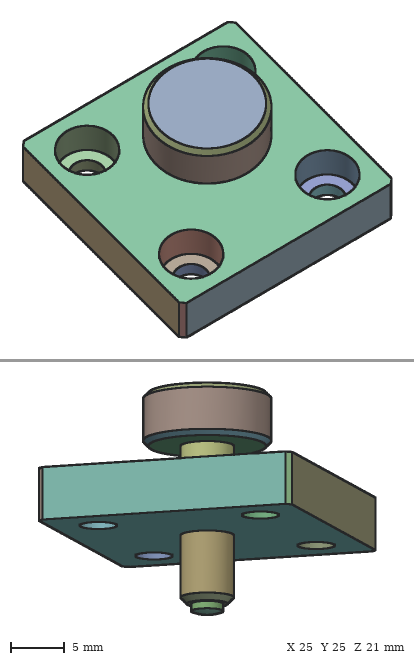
import cadquery as cq

plate_side = 25
plate_thickness = 5
plate_corner_chamfer = 0.5
plate_bottom = 7.5

hole_offset = 8
hole_diameter = 3.5
counterbore_diameter = 6
counterbore_depth = 3.5

head_diameter = 12
head_height = 5
head_chamfer = 0.5
shank_diameter = 5
shank_chamfer = 0.6
tip_diameter = 3
tip_length = 1
tip_dome_height = 0.3
head_gap = 3.5

plate_top = plate_bottom + plate_thickness
head_bottom = plate_top + head_gap
head_top = head_bottom + head_height


def make_plate():
    """Square plate with chamfered corners and four counterbored holes."""
    plate = (
        cq.Workplane("XY")
        .workplane(offset=plate_bottom)
        .rect(plate_side, plate_side)
        .extrude(plate_thickness)
        .edges("|Z")
        .chamfer(plate_corner_chamfer)
    )
    return (
        plate.faces(">Z")
        .workplane()
        .rect(2 * hole_offset, 2 * hole_offset, forConstruction=True)
        .vertices()
        .cboreHole(hole_diameter, counterbore_diameter, counterbore_depth)
    )


def make_screw():
    """Thumb screw revolved about Z: domed tip, shank and chamfered head."""
    tip_radius = tip_diameter / 2
    shank_radius = shank_diameter / 2
    head_radius = head_diameter / 2
    dome_radius = (tip_radius**2 + tip_dome_height**2) / (2 * tip_dome_height)
    dome_mid_x = tip_radius / 2
    dome_mid_z = dome_radius - (dome_radius**2 - dome_mid_x**2) ** 0.5
    return (
        cq.Workplane("XZ")
        .threePointArc((dome_mid_x, dome_mid_z), (tip_radius, tip_dome_height))
        .lineTo(tip_radius, tip_length)
        .lineTo(shank_radius - shank_chamfer, tip_length)
        .lineTo(shank_radius, tip_length + shank_chamfer)
        .lineTo(shank_radius, head_bottom)
        .lineTo(head_radius - head_chamfer, head_bottom)
        .lineTo(head_radius, head_bottom + head_chamfer)
        .lineTo(head_radius, head_top - head_chamfer)
        .lineTo(head_radius - head_chamfer, head_top)
        .lineTo(0, head_top)
        .close()
        .revolve(360, (0, 0, 0), (0, 1, 0))
    )


result = make_plate().union(make_screw())